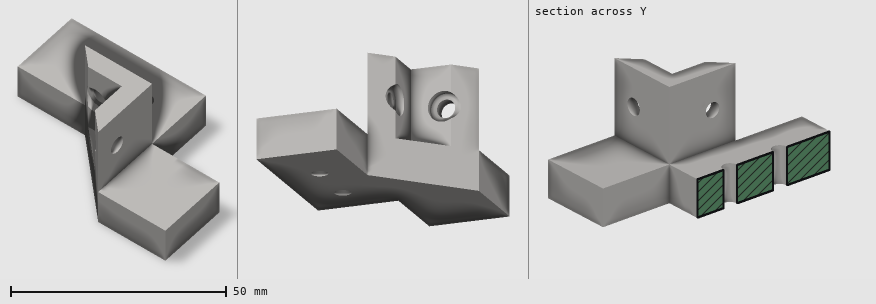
import cadquery as cq

plate_thickness = 10.0
plate_width = 20.0
long_plate_length = 40.0
short_plate_length = 20.0

post_height = 30.0
post_leg = 20.0
wall_thickness = 5.0

wall_hole_height = 20.0
wall_hole_offset = 13.0
rear_wall_hole_diameter = 4.02
side_wall_hole_diameter = 4.5
counterbore_diameter = 7.5
counterbore_floor_thickness = 3.0

plate_hole_diameter = 4.02
plate_hole_xs = (15.0, 30.0)

corner_x = long_plate_length
corner_y = plate_width


def make_plates():
    long_plate = cq.Workplane("XY").box(
        long_plate_length, plate_width, plate_thickness, centered=False
    ).translate((0, corner_y, 0))
    short_plate = cq.Workplane("XY").box(
        short_plate_length, plate_width, plate_thickness, centered=False
    ).translate((corner_x, 0, 0))
    return long_plate, short_plate


def corner_prism(inset, bottom):
    """Right-angled prism under the post's sloping face, set in from both outer walls."""
    leg = post_leg - 2 * inset
    x = corner_x - inset
    y = corner_y - inset
    return (
        cq.Workplane("XY", origin=(0, 0, bottom))
        .polyline([(x, y), (x - leg, y), (x, y - leg)])
        .close()
        .extrude(post_height - bottom)
    )


def wall_hole(outer_point, inward, diameter):
    """Through hole from the outer wall face, counterbored from the pocket side."""
    start = cq.Vector(*outer_point)
    direction = cq.Vector(*inward)
    bore = cq.Solid.makeCylinder(diameter / 2, post_leg, start, direction)
    counterbore = cq.Solid.makeCylinder(
        counterbore_diameter / 2,
        post_leg,
        start + direction * counterbore_floor_thickness,
        direction,
    )
    return cq.Workplane(obj=bore).union(cq.Workplane(obj=counterbore))


def plate_holes():
    return (
        cq.Workplane("XY")
        .pushPoints([(x, corner_y + plate_width / 2) for x in plate_hole_xs])
        .circle(plate_hole_diameter / 2)
        .extrude(plate_thickness)
    )


long_plate, short_plate = make_plates()
post = corner_prism(0, 0).cut(corner_prism(wall_thickness, plate_thickness))
rear_wall_hole = wall_hole(
    (corner_x - wall_hole_offset, corner_y, wall_hole_height), (0, -1, 0), rear_wall_hole_diameter
)
side_wall_hole = wall_hole(
    (corner_x, corner_y - wall_hole_offset, wall_hole_height), (-1, 0, 0), side_wall_hole_diameter
)
post = post.cut(rear_wall_hole).cut(side_wall_hole)

result = post.union(long_plate).union(short_plate).cut(plate_holes())